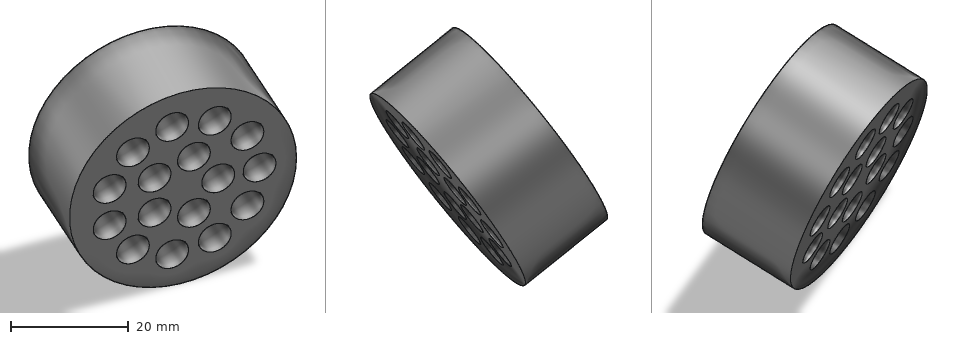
import cadquery as cq

disc_diameter = 41.8
disc_length = 18.0
hole_diameter = 6.0
outer_ring_radius = 14.1
outer_ring_count = 11
inner_ring_radius = 6.48
inner_ring_count = 5


def ring_of_pins(radius, count):
    """Evenly spaced cylinders along X, the first one on the +Y axis."""
    return (
        cq.Workplane("YZ")
        .polarArray(radius, 0, 360, count)
        .circle(hole_diameter / 2)
        .extrude(disc_length)
    )


disc = cq.Workplane("YZ").circle(disc_diameter / 2).extrude(disc_length)

outer_holes = ring_of_pins(outer_ring_radius, outer_ring_count)
inner_holes = ring_of_pins(inner_ring_radius, inner_ring_count)
result = disc.cut(outer_holes).cut(inner_holes)